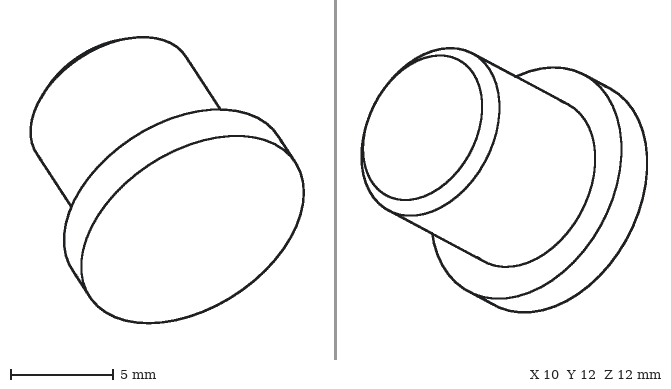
import cadquery as cq

total_length = 10.0
head_diameter = 12.0
head_thickness = 2.0
shank_diameter = 8.7
tip_chamfer = 0.6

shank_length = total_length - head_thickness


def make_shank():
    """Cylinder from the tip at X = 0 to the head, with a chamfered tip."""
    shank = cq.Workplane("YZ").circle(shank_diameter / 2).extrude(shank_length)
    return shank.faces("<X").chamfer(tip_chamfer)


def make_head():
    """Plain disc that closes the +X end of the shank."""
    head_plane = cq.Workplane("YZ", origin=(shank_length, 0, 0))
    return head_plane.circle(head_diameter / 2).extrude(head_thickness)


result = make_shank().union(make_head())